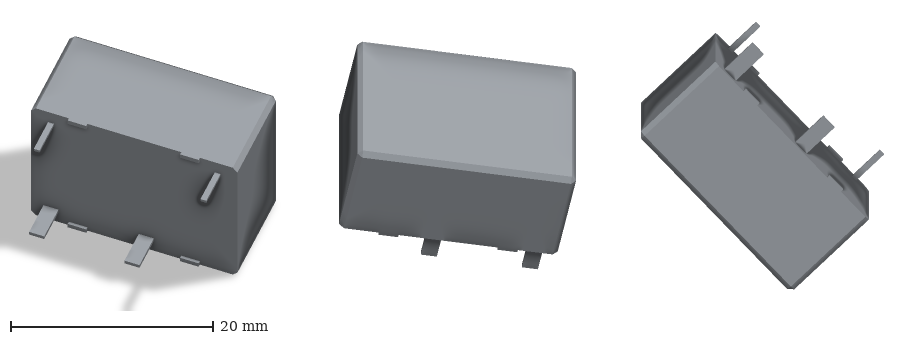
import cadquery as cq

WIDTH = 22.0
TOTAL_DEPTH = 14.5
HEIGHT = 16.0

PIN_LENGTH = 3.8
BODY_DEPTH = TOTAL_DEPTH - PIN_LENGTH
CHAMFER = 0.5

PAD_WIDTH = 1.98
PAD_HEIGHT = 0.5
PAD_DEPTH = 0.3
PAD_SPACING_X = 12.0

PIN_COLUMN_SPACING = 17.78
PIN_ROW_SPACING = 12.7
MIDDLE_PIN_X = 1.28
NARROW_PIN_WIDTH = 0.62
NARROW_PIN_THICKNESS = 0.3
WIDE_PIN_WIDTH = 1.6
WIDE_PIN_THICKNESS = 0.4


def make_housing():
    """Block with its depth edges and back rim chamfered together; the pin face is at Y = 0."""
    block = cq.Workplane("XY").box(WIDTH, BODY_DEPTH, HEIGHT, centered=(True, False, True))
    return block.edges("|Y or >Y").chamfer(CHAMFER)


def raise_from_pin_face(points, width, height, length):
    """Rectangular bars standing out of the pin face at the given (X, Z) points."""
    return cq.Workplane("XZ").pushPoints(points).rect(width, height).extrude(length)


pad_x = PAD_SPACING_X / 2
pad_z = (HEIGHT - PAD_HEIGHT) / 2
pad_points = [(x, z) for x in (-pad_x, pad_x) for z in (-pad_z, pad_z)]

pin_x = PIN_COLUMN_SPACING / 2
pin_z = PIN_ROW_SPACING / 2
narrow_pin_points = [(-pin_x, pin_z), (pin_x, pin_z)]
wide_pin_points = [(-pin_x, -pin_z), (MIDDLE_PIN_X, -pin_z)]

pads = raise_from_pin_face(pad_points, PAD_WIDTH, PAD_HEIGHT, PAD_DEPTH)
narrow_pins = raise_from_pin_face(narrow_pin_points, NARROW_PIN_WIDTH, NARROW_PIN_THICKNESS, PIN_LENGTH)
wide_pins = raise_from_pin_face(wide_pin_points, WIDE_PIN_WIDTH, WIDE_PIN_THICKNESS, PIN_LENGTH)

result = make_housing().union(pads).union(narrow_pins).union(wide_pins)